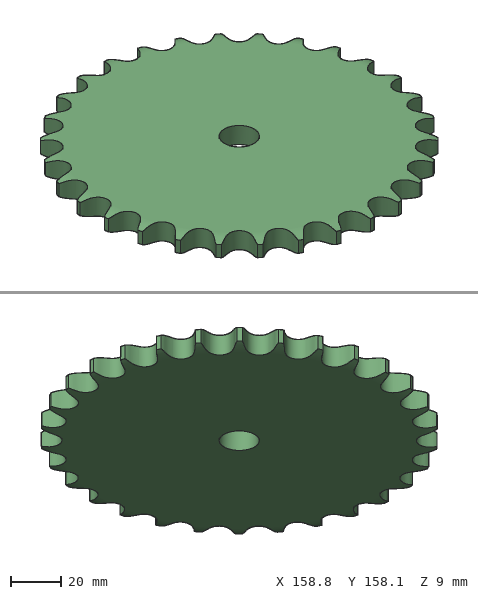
import cadquery as cq
import math


TOOTH_COUNT = 30
CHAIN_PITCH = 15.9
ROLLER_DIAMETER = 10.2
ROLLER_CLEARANCE = 0.038
OUTER_DIAMETER = 158.8
THICKNESS = 9.0
BORE_DIAMETER = 16.0
TOOTH_SIDE_RADIUS = 16.0
TOOTH_SIDE_DROP = 1.5

TOOTH_ANGLE = 360 / TOOTH_COUNT
HALF_TOOTH_ANGLE = TOOTH_ANGLE / 2
OUTER_RADIUS = OUTER_DIAMETER / 2
PITCH_RADIUS = CHAIN_PITCH / (2 * math.sin(math.radians(HALF_TOOTH_ANGLE)))

SEAT_END_ANGLE = 90 - (35 + 60 / TOOTH_COUNT)
WORKING_ARC_ANGLE = 18 - 56 / TOOTH_COUNT
FLANK_ANGLE = SEAT_END_ANGLE + WORKING_ARC_ANGLE
SEAT_RADIUS = 0.5025 * ROLLER_DIAMETER + ROLLER_CLEARANCE
WORKING_CENTER_OFFSET = 0.8 * ROLLER_DIAMETER
WORKING_RADIUS = SEAT_RADIUS + WORKING_CENTER_OFFSET
TOPPING_CENTER_OFFSET = 1.4 * ROLLER_DIAMETER
TOPPING_RADIUS = (
    WORKING_CENTER_OFFSET * math.cos(math.radians(WORKING_ARC_ANGLE))
    + TOPPING_CENTER_OFFSET * math.cos(math.radians(17 - 64 / TOOTH_COUNT))
    - WORKING_RADIUS
)


def step(start, distance, angle):
    """Point at a distance from start; the angle turns from -X (inward) toward +Y."""
    turn = math.radians(angle)
    return (start[0] - distance * math.cos(turn), start[1] + distance * math.sin(turn))


def rotate(point, angle):
    """Point turned about the sprocket axis."""
    turn = math.radians(angle)
    x, y = point
    return (
        x * math.cos(turn) - y * math.sin(turn),
        x * math.sin(turn) + y * math.cos(turn),
    )


def mirror(point):
    """Matching point on the other flank of a gap centred on +X."""
    return (point[0], -point[1])


def topping_arc_point(center, radius_from_axis):
    """Where the topping arc crosses a circle about the sprocket axis, on its gap side."""
    distance = math.hypot(*center)
    cosine = (distance**2 + radius_from_axis**2 - TOPPING_RADIUS**2) / (
        2 * distance * radius_from_axis
    )
    angle = math.atan2(center[1], center[0]) - math.acos(cosine)
    return (radius_from_axis * math.cos(angle), radius_from_axis * math.sin(angle))


def make_toothed_disc():
    """Full-thickness disc with the tooth outline."""
    seat_center = (PITCH_RADIUS, 0)
    seat_bottom = step(seat_center, SEAT_RADIUS, 0)
    seat_end = step(seat_center, SEAT_RADIUS, SEAT_END_ANGLE)
    working_center = step(seat_center, -WORKING_CENTER_OFFSET, SEAT_END_ANGLE)
    working_middle = step(working_center, WORKING_RADIUS, SEAT_END_ANGLE + WORKING_ARC_ANGLE / 2)
    working_end = step(working_center, WORKING_RADIUS, FLANK_ANGLE)
    topping_center = step(seat_center, TOPPING_CENTER_OFFSET, 90 - HALF_TOOTH_ANGLE)
    topping_start = step(topping_center, -TOPPING_RADIUS, FLANK_ANGLE)
    tip_corner = topping_arc_point(topping_center, OUTER_RADIUS)
    topping_middle = topping_arc_point(
        topping_center, (math.hypot(*topping_start) + OUTER_RADIUS) / 2
    )
    tip_middle = rotate((OUTER_RADIUS, 0), HALF_TOOTH_ANGLE)

    outline = cq.Workplane("XY").moveTo(*rotate(mirror(tip_corner), HALF_TOOTH_ANGLE))
    for index in range(TOOTH_COUNT):
        gap_angle = (index + 0.5) * TOOTH_ANGLE

        def lower(point):
            return rotate(mirror(point), gap_angle)

        def upper(point):
            return rotate(point, gap_angle)

        next_tip_corner = rotate(mirror(tip_corner), gap_angle + TOOTH_ANGLE)
        outline = (
            outline.threePointArc(lower(topping_middle), lower(topping_start))
            .lineTo(*lower(working_end))
            .threePointArc(lower(working_middle), lower(seat_end))
            .threePointArc(upper(seat_bottom), upper(seat_end))
            .threePointArc(upper(working_middle), upper(working_end))
            .lineTo(*upper(topping_start))
            .threePointArc(upper(topping_middle), upper(tip_corner))
            .threePointArc(upper(tip_middle), next_tip_corner)
        )
    return outline.close().extrude(THICKNESS / 2, both=True)


def make_side_envelope():
    """Round blank whose rim curves in from both faces, starting tangent to each face."""
    half_thickness = THICKNESS / 2
    half_tip = half_thickness - TOOTH_SIDE_DROP
    sweep = math.acos(1 - TOOTH_SIDE_DROP / TOOTH_SIDE_RADIUS)
    face_radius = OUTER_RADIUS - TOOTH_SIDE_RADIUS * math.sin(sweep)
    middle_radius = face_radius + TOOTH_SIDE_RADIUS * math.sin(sweep / 2)
    middle_height = half_thickness - TOOTH_SIDE_RADIUS * (1 - math.cos(sweep / 2))
    return (
        cq.Workplane("XZ")
        .moveTo(0, -half_thickness)
        .lineTo(face_radius, -half_thickness)
        .threePointArc((middle_radius, -middle_height), (OUTER_RADIUS, -half_tip))
        .lineTo(OUTER_RADIUS, half_tip)
        .threePointArc((middle_radius, middle_height), (face_radius, half_thickness))
        .lineTo(0, half_thickness)
        .close()
        .revolve(360, (0, 0, 0), (0, 1, 0))
    )


def make_bore():
    """Cylinder that clears the shaft hole through the disc."""
    return cq.Workplane("XY").circle(BORE_DIAMETER / 2).extrude(THICKNESS, both=True)


result = make_toothed_disc().intersect(make_side_envelope()).cut(make_bore())